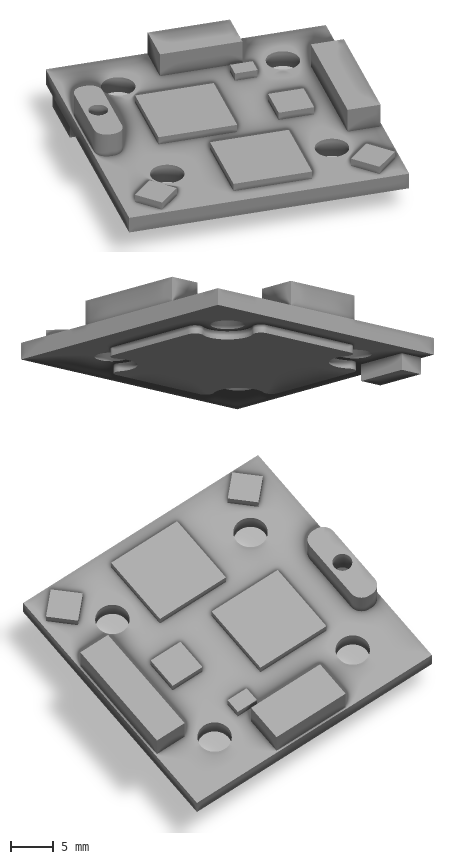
import cadquery as cq
import math

board_side = 34.0
board_thickness = 2.0

hole_diameter = 4.0
hole_spacing = 20.0
hole_pattern_x = -1.0

chip_height = 1.0
tall_height = 3.0
pad_height = 1.0
bottom_connector_height = 2.0

edge_gap = 0.25

rear_connector_length = 15.0
rear_connector_width = 4.0
rear_connector_x = -1.35
left_connector_length = 10.0
left_connector_width = 5.0
left_connector_y = 0.3
bottom_connector_length = 7.0
bottom_connector_width = 3.0
bottom_connector_x = -11.5

button_length = 11.0
button_width = 3.4
button_corner_radius = 1.5
button_hole_diameter = 2.3
button_x = -2.1

chips = [
    (9.55, 9.55, 10.05, 1.1, 0),
    (9.55, 9.55, -2.25, -4.35, 0),
    (4.32, 4.32, -0.78, 7.95, 0),
    (2.0, 2.75, -9.3, 4.75, 0),
    (3.77, 3.77, 13.43, 13.67, 45),
    (3.6, 3.6, 13.85, -12.82, 45),
]

pad_side = 25.98
pad_scoop_radius = 3.0
pad_fillet_radius = 1.0

half_board = board_side / 2


def block(length, width, height, x, y, base_z, angle=0):
    """Box centred at (x, y), turned about its own vertical axis, standing on base_z."""
    box = cq.Workplane("XY").box(length, width, height, centered=(True, True, False))
    return box.rotate((0, 0, 0), (0, 0, 1), angle).translate((x, y, base_z))


def hole_pattern(radius, height, base_z):
    """Four cylinders on the mounting hole centres."""
    return (
        cq.Workplane("XY", origin=(hole_pattern_x, 0, base_z))
        .rect(hole_spacing, hole_spacing, forConstruction=True)
        .vertices()
        .circle(radius)
        .extrude(height)
    )


def make_button():
    y = -half_board + edge_gap + button_width / 2
    button = block(button_length, button_width, tall_height, button_x, y, board_thickness)
    button = button.edges("|Z").fillet(button_corner_radius)
    top = button.faces(">Z").workplane(centerOption="CenterOfBoundBox")
    return top.hole(button_hole_diameter, tall_height)


def make_pad():
    """Scooped square; each scoop blends into the straight sides with tangent fillets."""
    half_pad = pad_side / 2
    hole = hole_spacing / 2
    centre_distance = pad_scoop_radius + pad_fillet_radius
    fillet_x = half_pad - pad_fillet_radius
    fillet_y = hole - math.sqrt(centre_distance**2 - (fillet_x - hole) ** 2)

    toward_hole = math.atan2(hole - fillet_y, hole - fillet_x)
    tangent = polar_point(fillet_x, fillet_y, pad_fillet_radius, toward_hole)
    fillet_middle = polar_point(fillet_x, fillet_y, pad_fillet_radius, toward_hole / 2)
    scoop_middle = polar_point(hole, hole, pad_scoop_radius, math.radians(225))

    outline = cq.Workplane("XY", origin=(hole_pattern_x, 0, -pad_height)).moveTo(half_pad, -fillet_y)
    for quarter in range(4):
        angle = quarter * math.pi / 2
        outline = (
            outline.lineTo(*turn((half_pad, fillet_y), angle))
            .threePointArc(turn(fillet_middle, angle), turn(tangent, angle))
            .threePointArc(turn(scoop_middle, angle), turn(tangent[::-1], angle))
            .threePointArc(turn(fillet_middle[::-1], angle), turn((fillet_y, half_pad), angle))
        )
    return outline.close().extrude(pad_height)


def polar_point(x, y, radius, angle):
    return (x + radius * math.cos(angle), y + radius * math.sin(angle))


def turn(point, angle):
    """Rotate a point about the origin."""
    x, y = point
    return (
        x * math.cos(angle) - y * math.sin(angle),
        x * math.sin(angle) + y * math.cos(angle),
    )


board = block(board_side, board_side, board_thickness, 0, 0, 0)
result = board.cut(hole_pattern(hole_diameter / 2, board_thickness, 0))

for length, width, x, y, angle in chips:
    result = result.union(block(length, width, chip_height, x, y, board_thickness, angle))

rear_connector_y = half_board - edge_gap - rear_connector_width / 2
result = result.union(
    block(rear_connector_length, rear_connector_width, tall_height,
          rear_connector_x, rear_connector_y, board_thickness)
)

left_connector_x = -half_board + edge_gap + left_connector_width / 2
result = result.union(
    block(left_connector_width, left_connector_length, tall_height,
          left_connector_x, left_connector_y, board_thickness)
)

bottom_connector_y = -half_board + edge_gap + bottom_connector_width / 2
result = result.union(
    block(bottom_connector_length, bottom_connector_width, bottom_connector_height,
          bottom_connector_x, bottom_connector_y, -bottom_connector_height)
)

result = result.union(make_button()).union(make_pad())